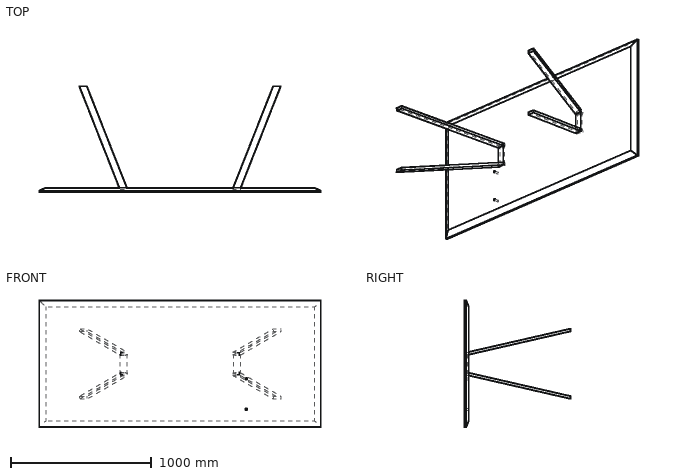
import cadquery as cq
import math


top_length = 2000.0
top_width = 900.0
top_thickness = 32.0
rim_thickness = 12.0
bevel_inset = 46.0
foot_y = 753.0

leg_width = 50.0
leg_thickness = 20.0
leg_splay_x = 21.0
leg_splay_z = 12.9
tip_x = 420.5
tip_y = 3.0
tip_z = 78.0

crossbar_thickness = 12.0

hole_diameter = 12.0
hole_x = 471.0
hole_zs = (-107.0, -323.5)

foot_overrun = 2.0 * leg_width
leg_length = (foot_y - tip_y) / math.cos(math.radians(leg_splay_x)) / math.cos(math.radians(leg_splay_z))
leg_blank_length = leg_length + foot_overrun


def make_leg():
    """The +X, +Z leg: a splayed bar, square at its inner end and cut level at the foot."""
    bar = cq.Workplane("XY").box(leg_width, leg_blank_length, leg_thickness, centered=False)
    bar = bar.translate((-leg_width, 0, -leg_thickness))
    bar = bar.rotate((0, 0, 0), (0, 0, 1), -leg_splay_x)
    bar = bar.rotate((0, 0, 0), (1, 0, 0), leg_splay_z)
    bar = bar.translate((tip_x, tip_y, tip_z))
    below_floor = (
        cq.Workplane("XZ", origin=(0, foot_y, 0))
        .rect(top_length, top_length)
        .extrude(-leg_blank_length)
    )
    return bar.cut(below_floor)


def make_crossbar():
    """Flat bar, flush with the underside of the top, that joins the two legs of a frame."""
    middle_depth = top_thickness - crossbar_thickness / 2 - tip_y
    outer_x = tip_x + middle_depth * math.tan(math.radians(leg_splay_x))
    return (
        cq.Workplane("XZ", origin=(outer_x - leg_width / 2, top_thickness, 0))
        .rect(leg_width, 2 * tip_z - leg_thickness)
        .extrude(crossbar_thickness)
    )


def make_leg_frame(side):
    """Two legs and their crossbar as one solid, at the +X (side = 1) or -X (side = -1) end."""
    leg = make_leg()
    frame = make_crossbar().union(leg).union(leg.mirror("XY"))
    return frame if side > 0 else frame.mirror("YZ")


def make_table_top(frames):
    """Top with a bevelled underside, two round holes, and recesses that fit the leg frames."""
    top = cq.Workplane("XZ").rect(top_length, top_width).extrude(-rim_thickness)
    bevel = (
        cq.Workplane("XZ", origin=(0, rim_thickness, 0))
        .rect(top_length, top_width)
        .workplane(offset=rim_thickness - top_thickness)
        .rect(top_length - 2 * bevel_inset, top_width - 2 * bevel_inset)
        .loft()
    )
    top = top.union(bevel)
    for hole_z in hole_zs:
        hole = (
            cq.Workplane("XZ", origin=(hole_x, 0, hole_z))
            .circle(hole_diameter / 2)
            .extrude(-top_thickness)
        )
        top = top.cut(hole)
    for frame in frames:
        top = top.cut(frame)
    return top


leg_frames = [make_leg_frame(side) for side in (-1, 1)]
table_top = make_table_top(leg_frames)

result = cq.Compound.makeCompound([table_top.val(), *[frame.val() for frame in leg_frames]])